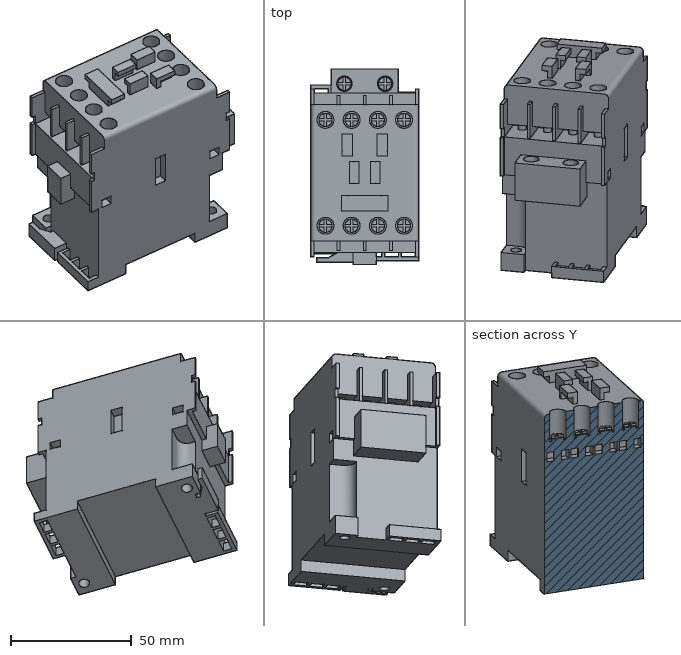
import cadquery as cq

width = 44.8
half_width = width / 2
overall_height = 86.5

lower_half_depth = 31.2
upper_half_depth = 28.3
housing_top = 80.5
top_edge_radius = 2.0

terminal_half_depth = 33.15
terminal_bottom = 42.4
terminal_shelf = 59.2
terminal_slot_top = 63.1
terminal_slot_inner_y = 19.0
wing_half_depth = 34.83
wing_thickness = 1.39
wing_top = 74.2
wing_notch_bottom = 59.4
wing_notch_top = 63.4
divider_half_depth = 32.15
divider_thickness = 1.2

pole_pitch = 10.87
pole_count = 4
pole_positions = [(index - (pole_count - 1) / 2) * pole_pitch for index in range(pole_count)]
screw_row_y = 21.95
screw_well_diameter = 7.0
screw_well_bottom = 68.0
screw_shank_diameter = 3.5
screw_head_diameter = 5.5
screw_head_height = 2.0
cross_slot_width = 1.0
cross_slot_depth = 1.0

rail_channel_half_depth = 17.4
rail_channel_height = 5.0
foot_half_depth = 33.6
foot_top = 7.9
foot_inner_x = 12.55
corner_relief_top = 33.2
corner_relief_inner_y = 24.7
corner_relief_radius = 4.5
mounting_hole_diameter = 4.5
mounting_hole_x = -17.05
mounting_hole_y = -29.2

frame_half_depth = 36.5
frame_height = rail_channel_height
frame_inner_x = 0.1
frame_outer_wall = 1.7
frame_window_width = 5.6
frame_rib_thickness = 1.3
frame_window_count = 3

latch_left_x = -20.0
latch_right_x = -1.15
latch_front_y = -37.1
latch_tip_back_y = -35.15
latch_slope_start_x = -15.05
latch_slope_end_x = -10.7
latch_slope_end_y = -32.7
latch_height = 6.7

front_box_half_width = 4.8
front_box_y = -38.1
front_box_bottom = 35.8
front_box_top = 50.0
coil_block_half_width = 13.95
coil_block_y = 43.1
coil_block_bottom = 35.5
coil_block_top = 52.0
coil_screw_x = 8.45
coil_screw_y = 36.95
coil_well_diameter = 6.4
coil_well_depth = 6.0

pocket_depth = 3.7
side_slot_half_depth = 2.5
side_slot_bottom = 41.35
side_slot_top = 55.9
small_pocket_inner_y = 24.9
small_pocket_outer_y = 29.5
small_pocket_bottom = 42.4
small_pocket_top = 46.4

guide_top = 85.8
guide_undercut_top = 83.5
outer_guide_x = (5.0, 9.4)
outer_guide_y = (7.0, 16.1)
outer_guide_leg_back_y = 9.1
outer_guide_stem_x = 7.0
inner_guide_x = (2.4, 6.4)
inner_guide_y = (-4.35, 4.6)
inner_guide_stem_x = 4.5
inner_guide_undercut_top = 84.3
label_bar_half_width = 9.7
label_bar_stem_half_width = 7.0
label_bar_y = (-15.85, -9.45)


def block(x_range, y_range, z_range):
    """Axis-aligned box between two limits on each axis."""
    x_low, x_high = sorted(x_range)
    y_low, y_high = sorted(y_range)
    z_low, z_high = sorted(z_range)
    box = cq.Workplane("XY").box(x_high - x_low, y_high - y_low, z_high - z_low, centered=False)
    return box.translate((x_low, y_low, z_low))


def centred_block(half_x, half_y, z_range):
    """Box centred on the Z axis."""
    return block((-half_x, half_x), (-half_y, half_y), z_range)


def cylinder(x, y, diameter, z_range):
    """Upright cylinder between two heights."""
    bottom, top = z_range
    base = cq.Workplane("XY").workplane(offset=bottom).center(x, y)
    return base.circle(diameter / 2).extrude(top - bottom)


def half_turn(shape):
    """Copy turned 180 degrees about the Z axis."""
    return shape.rotate((0, 0, 0), (0, 0, 1), 180)


def screw_head(x, y, bottom):
    """Cylindrical screw head with a cross slot in its top."""
    top = bottom + screw_head_height
    radius = screw_head_diameter / 2
    half_slot = cross_slot_width / 2
    slot_z = (top - cross_slot_depth, top)
    head = cylinder(x, y, screw_head_diameter, (bottom, top))
    head = head.cut(block((x - radius, x + radius), (y - half_slot, y + half_slot), slot_z))
    return head.cut(block((x - half_slot, x + half_slot), (y - radius, y + radius), slot_z))


def make_housing():
    """Stepped housing with rounded top edges and the mounting-rail channel underneath."""
    upper = centred_block(half_width, upper_half_depth, (0, housing_top))
    upper = upper.edges("|Y and >Z").fillet(top_edge_radius)
    lower = centred_block(half_width, lower_half_depth, (0, terminal_bottom))
    terminals = centred_block(half_width, terminal_half_depth, (terminal_bottom, terminal_shelf))
    housing = upper.union(lower).union(terminals)
    return housing.cut(centred_block(half_width, rail_channel_half_depth, (0, rail_channel_height)))


def make_wings():
    """Thin side walls standing past the terminals, notched level with the terminal slots."""
    wings = centred_block(half_width, wing_half_depth, (terminal_bottom, wing_top))
    notch_z = (wing_notch_bottom, wing_notch_top)
    for side in (-1, 1):
        notch_y = (side * terminal_half_depth, side * wing_half_depth)
        wings = wings.cut(block((-half_width, half_width), notch_y, notch_z))
    inner_half_width = half_width - wing_thickness
    return wings.cut(centred_block(inner_half_width, wing_half_depth, (terminal_bottom, wing_top)))


def add_terminals(body):
    """Clamping slots, dividers, and screws in wells, along the front and back."""
    slot_half_width = half_width - wing_thickness
    for side in (-1, 1):
        slot_y = (side * terminal_slot_inner_y, side * upper_half_depth)
        slot = block((-slot_half_width, slot_half_width), slot_y, (terminal_shelf, terminal_slot_top))
        body = body.cut(slot)
        for pole_x in pole_positions[:-1]:
            x = pole_x + pole_pitch / 2
            divider_x = (x - divider_thickness / 2, x + divider_thickness / 2)
            divider_y = (side * terminal_slot_inner_y, side * divider_half_depth)
            body = body.union(block(divider_x, divider_y, (terminal_shelf, wing_top)))
        for x in pole_positions:
            y = side * screw_row_y
            body = body.cut(cylinder(x, y, screw_well_diameter, (screw_well_bottom, housing_top)))
            body = body.union(cylinder(x, y, screw_shank_diameter, (terminal_shelf, terminal_slot_top)))
            body = body.union(screw_head(x, y, screw_well_bottom))
    return body


def make_corner_relief():
    """Front left clearance above the mounting foot, with a rounded inner corner."""
    x_range = (-half_width, -foot_inner_x)
    y_range = (-frame_half_depth, -corner_relief_inner_y)
    relief = block(x_range, y_range, (foot_top, corner_relief_top))
    return relief.edges("|Z and >X and >Y").fillet(corner_relief_radius)


def add_feet(body):
    """Drilled mounting feet at the front left and back right corners."""
    foot_y = (-foot_half_depth, -rail_channel_half_depth)
    foot = block((-half_width, -foot_inner_x), foot_y, (0, foot_top))
    hole = cylinder(mounting_hole_x, mounting_hole_y, mounting_hole_diameter, (0, foot_top))
    relief = make_corner_relief()
    body = body.cut(relief).cut(half_turn(relief))
    body = body.union(foot).union(half_turn(foot))
    return body.cut(hole).cut(half_turn(hole))


def make_frame():
    """Open ribbed frame along the right half of the front base edge."""
    height = (0, frame_height)
    frame = block((frame_inner_x, half_width), (-frame_half_depth, -lower_half_depth), height)
    window_y = (-frame_half_depth + frame_outer_wall, -lower_half_depth)
    for index in range(frame_window_count):
        start = frame_inner_x + frame_rib_thickness + index * (frame_window_width + frame_rib_thickness)
        frame = frame.cut(block((start, start + frame_window_width), window_y, height))
    return frame


def make_latch():
    """Release latch with a free tip to the left of a sloped shoulder."""
    outline = [
        (latch_left_x, latch_front_y),
        (latch_right_x, latch_front_y),
        (latch_right_x, -lower_half_depth),
        (latch_slope_end_x, -lower_half_depth),
        (latch_slope_end_x, latch_slope_end_y),
        (latch_slope_start_x, latch_tip_back_y),
        (latch_left_x, latch_tip_back_y),
    ]
    return cq.Workplane("XY").polyline(outline).close().extrude(latch_height)


def add_coil_parts(body):
    """Front box, and the back coil block with its two terminal screws."""
    front_x = (-front_box_half_width, front_box_half_width)
    front_box = block(front_x, (front_box_y, -lower_half_depth), (front_box_bottom, front_box_top))
    coil_x = (-coil_block_half_width, coil_block_half_width)
    coil_block = block(coil_x, (lower_half_depth, coil_block_y), (coil_block_bottom, coil_block_top))
    well_bottom = coil_block_top - coil_well_depth
    body = body.union(front_box).union(coil_block)
    for x in (-coil_screw_x, coil_screw_x):
        well = cylinder(x, coil_screw_y, coil_well_diameter, (well_bottom, coil_block_top))
        body = body.cut(well).union(screw_head(x, coil_screw_y, well_bottom))
    return body


def cut_side_pockets(body):
    """One tall slot and two small pockets in each side wall."""
    for side in (-1, 1):
        x_range = (side * (half_width - pocket_depth), side * half_width)
        slot_y = (-side_slot_half_depth, side_slot_half_depth)
        body = body.cut(block(x_range, slot_y, (side_slot_bottom, side_slot_top)))
        for end in (-1, 1):
            pocket_y = (end * small_pocket_inner_y, end * small_pocket_outer_y)
            body = body.cut(block(x_range, pocket_y, (small_pocket_bottom, small_pocket_top)))
    return body


def make_guides():
    """Right outer and inner guides, each undercut along one side."""
    outer = block(outer_guide_x, outer_guide_y, (housing_top, guide_top))
    outer_gap_x = (outer_guide_stem_x, outer_guide_x[1])
    outer_gap_y = (outer_guide_leg_back_y, outer_guide_y[1])
    outer = outer.cut(block(outer_gap_x, outer_gap_y, (housing_top, guide_undercut_top)))
    inner = block(inner_guide_x, inner_guide_y, (housing_top, overall_height))
    inner_gap_x = (inner_guide_x[0], inner_guide_stem_x)
    inner_gap_z = (housing_top, inner_guide_undercut_top)
    inner = inner.cut(block(inner_gap_x, inner_guide_y, inner_gap_z))
    return outer.union(inner)


def make_label_bar():
    """T-shaped bar across the front of the top face."""
    bar_x = (-label_bar_half_width, label_bar_half_width)
    stem_x = (-label_bar_stem_half_width, label_bar_stem_half_width)
    bar = block(bar_x, label_bar_y, (guide_undercut_top, guide_top))
    return bar.union(block(stem_x, label_bar_y, (housing_top, guide_undercut_top)))


guides = make_guides()
frame = make_frame()

body = make_housing().union(make_wings())
body = add_terminals(body)
body = add_feet(body)
body = body.union(frame).union(half_turn(frame)).union(make_latch())
body = add_coil_parts(body)
body = cut_side_pockets(body)
body = body.union(guides).union(guides.mirror("YZ")).union(make_label_bar())

result = body